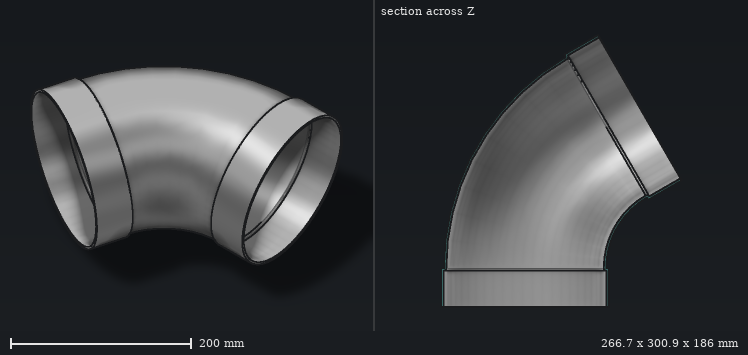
import cadquery as cq
import math

bend_angle = 60.0
bend_radius = 180.0
pipe_diameter = 180.0
wall = 3.0
socket_length = 43.0

pipe_radius = pipe_diameter / 2
bore_radius = pipe_radius - wall
socket_radius = pipe_radius + wall

outlet_x = bend_radius * (1 - math.cos(math.radians(bend_angle)))
outlet_y = bend_radius * math.sin(math.radians(bend_angle))


def bent_pipe():
    """Constant-wall pipe swept about the vertical axis at x = bend_radius."""
    section = cq.Workplane("XZ").circle(pipe_radius).circle(bore_radius)
    return section.revolve(bend_angle, (bend_radius, 1, 0), (bend_radius, 0, 0))


def socket():
    """Socket around the Y axis, from the origin to its mouth at -Y.

    At its root a quarter-round lip, as deep as the wall, forms the stop for
    the inserted pipe and runs tangent into the bore of the bend.
    """
    lip_offset = wall * math.sqrt(0.5)
    lip_middle = (pipe_radius - lip_offset, -lip_offset)
    profile = (
        cq.Workplane("XY")
        .moveTo(bore_radius, 0)
        .threePointArc(lip_middle, (pipe_radius, -wall))
        .lineTo(pipe_radius, -socket_length)
        .lineTo(socket_radius, -socket_length)
        .lineTo(socket_radius, 0)
        .close()
    )
    return profile.revolve(360, (0, 0, 0), (0, 1, 0))


inlet_socket = socket()

outlet_socket = (
    socket()
    .rotate((0, 0, 0), (0, 0, 1), 180 - bend_angle)
    .translate((outlet_x, outlet_y, 0))
)

result = bent_pipe().union(inlet_socket).union(outlet_socket)